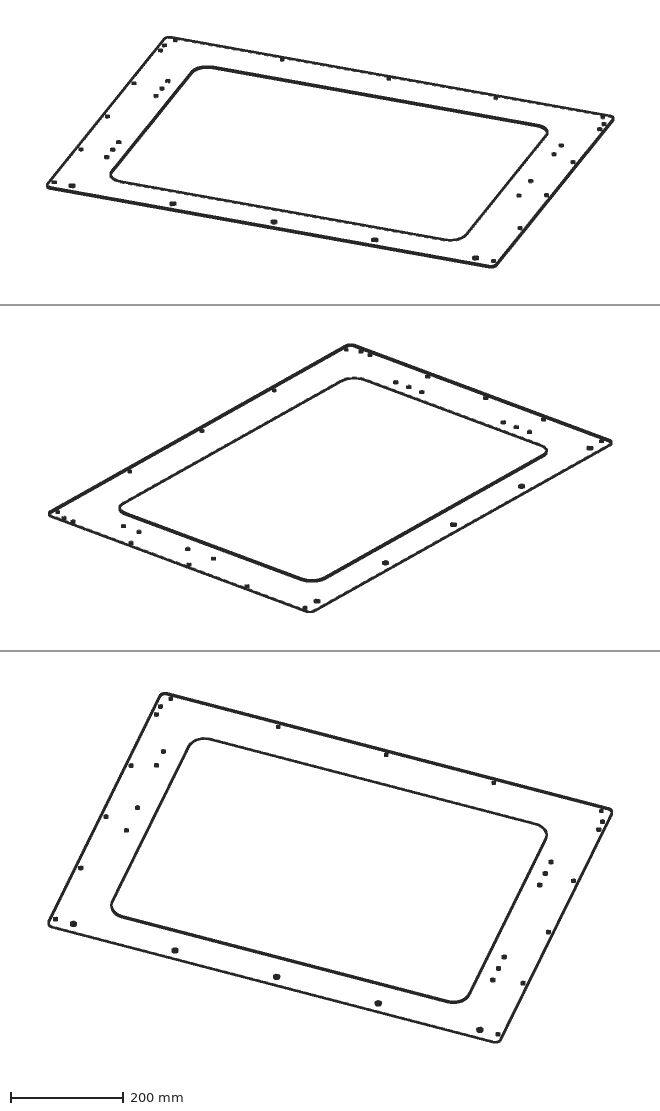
import cadquery as cq

LENGTH = 856.0
WIDTH = 606.9
THICKNESS = 3.0
CORNER_RADIUS = 10.0

SIDE_FRAME = 90.0
BACK_FRAME = 78.0
FRONT_FRAME = 65.0
WINDOW_RADIUS = 30.0
WINDOW_LENGTH = LENGTH - 2 * SIDE_FRAME
WINDOW_WIDTH = WIDTH - BACK_FRAME - FRONT_FRAME
WINDOW_CENTRE_Y = (FRONT_FRAME - BACK_FRAME) / 2

BACK_HOLE_DIAMETER = 4.5
BACK_HOLE_PITCH = 204.0
BACK_HOLE_Y = WIDTH / 2 - 8.5

FRONT_HOLE_DIAMETER = 9.0
FRONT_HOLE_PITCH = 192.5
FRONT_HOLE_Y = -WIDTH / 2 + 20.0

HOLES_PER_ROW = 5

SIDE_HOLE_DIAMETER = 5.5
SIDE_HOLE_X = LENGTH / 2 - 9.0
SIDE_HOLE_PITCH = 133.3
SIDE_HOLE_COUNT = 5
SIDE_HOLE_LOWEST_Y = -WIDTH / 2 + 20.5
SIDE_EXTRA_HOLE_Y = WIDTH / 2 - 32.5

LEFT_HOLE_DIAMETER = 6.0
LEFT_HOLE_X = -365.5
LEFT_HOLE_PITCH = 30.0
LEFT_GROUP_CENTRES_Y = (117.0, -130.5)
LEFT_HOLES_PER_GROUP = 3

UPPER_PAIR_DIAMETER = 5.5
UPPER_PAIR_X = 376.5
UPPER_PAIR_CENTRE_Y = 151.0
UPPER_PAIR_SPACING = 36.0
LOWER_PAIR_DIAMETER = 5.5
LOWER_PAIR_X = 373.5
LOWER_PAIR_CENTRE_Y = -6.0
LOWER_PAIR_SPACING = 59.0


def rounded_slab(length, width, radius, centre_y=0.0):
    """Flat slab of the plate's thickness with rounded vertical corners."""
    slab = cq.Workplane("XY").center(0, centre_y).rect(length, width).extrude(THICKNESS)
    return slab.edges("|Z").fillet(radius)


def spread(centre, pitch, count):
    """Evenly spaced positions, symmetric about a centre."""
    first = centre - pitch * (count - 1) / 2
    return [first + pitch * i for i in range(count)]


def drill(plate, points, diameter):
    """Cut plain through holes at the given XY points."""
    drills = cq.Workplane("XY").pushPoints(points).circle(diameter / 2).extrude(THICKNESS)
    return plate.cut(drills)


def drill_edge_rows(plate):
    """Rows of holes along the +Y and -Y edges."""
    back_points = [(x, BACK_HOLE_Y) for x in spread(0, BACK_HOLE_PITCH, HOLES_PER_ROW)]
    front_points = [(x, FRONT_HOLE_Y) for x in spread(0, FRONT_HOLE_PITCH, HOLES_PER_ROW)]
    plate = drill(plate, back_points, BACK_HOLE_DIAMETER)
    return drill(plate, front_points, FRONT_HOLE_DIAMETER)


def drill_side_columns(plate):
    """Matching columns of holes along the -X and +X edges."""
    heights = [SIDE_HOLE_LOWEST_Y + SIDE_HOLE_PITCH * i for i in range(SIDE_HOLE_COUNT)]
    heights.append(SIDE_EXTRA_HOLE_Y)
    points = [(x, y) for x in (-SIDE_HOLE_X, SIDE_HOLE_X) for y in heights]
    return drill(plate, points, SIDE_HOLE_DIAMETER)


def drill_left_groups(plate):
    """Groups of three holes between the -X edge and the window."""
    for centre_y in LEFT_GROUP_CENTRES_Y:
        heights = spread(centre_y, LEFT_HOLE_PITCH, LEFT_HOLES_PER_GROUP)
        plate = drill(plate, [(LEFT_HOLE_X, y) for y in heights], LEFT_HOLE_DIAMETER)
    return plate


def drill_right_pairs(plate):
    """Pairs of holes between the window and the +X edge."""
    upper_points = [(UPPER_PAIR_X, y) for y in spread(UPPER_PAIR_CENTRE_Y, UPPER_PAIR_SPACING, 2)]
    lower_points = [(LOWER_PAIR_X, y) for y in spread(LOWER_PAIR_CENTRE_Y, LOWER_PAIR_SPACING, 2)]
    plate = drill(plate, upper_points, UPPER_PAIR_DIAMETER)
    return drill(plate, lower_points, LOWER_PAIR_DIAMETER)


plate = rounded_slab(LENGTH, WIDTH, CORNER_RADIUS)
plate = plate.cut(rounded_slab(WINDOW_LENGTH, WINDOW_WIDTH, WINDOW_RADIUS, WINDOW_CENTRE_Y))
plate = drill_edge_rows(plate)
plate = drill_side_columns(plate)
plate = drill_left_groups(plate)
result = drill_right_pairs(plate)